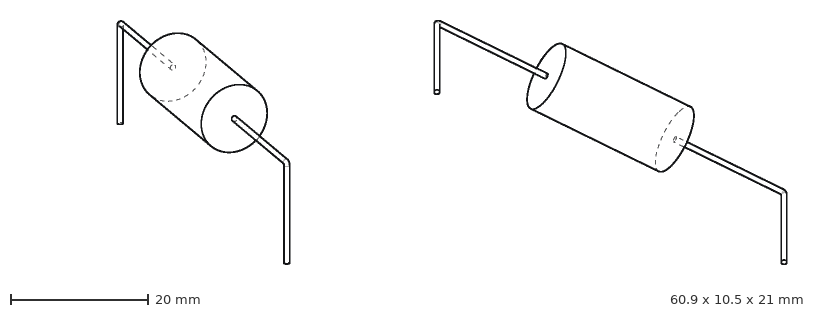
import cadquery as cq

overall_length = 60.85
overall_height = 21.0
body_diameter = 10.5
body_length = 22.15
wire_diameter = 0.85

wire_radius = wire_diameter / 2
inner_bend_radius = 0.01
bend_radius = wire_radius + inner_bend_radius
body_end_x = body_length / 2
leg_x = overall_length / 2 - wire_radius
bend_start_x = leg_x - bend_radius
leg_bottom_z = body_diameter / 2 - overall_height
leg_length = -bend_radius - leg_bottom_z


def make_body():
    """Plain cylinder centred on the origin, with its axis along X."""
    return (
        cq.Workplane("YZ", origin=(-body_end_x, 0, 0))
        .circle(body_diameter / 2)
        .extrude(body_length)
    )


def make_lead():
    """Lead at the +X end: straight run from the body face, quarter bend, leg down."""
    run = (
        cq.Workplane("YZ", origin=(body_end_x, 0, 0))
        .circle(wire_radius)
        .extrude(bend_start_x - body_end_x)
    )
    bend = (
        cq.Workplane("YZ", origin=(bend_start_x, 0, 0))
        .circle(wire_radius)
        .revolve(90, (0, -bend_radius, 0), (1, -bend_radius, 0))
    )
    leg = (
        cq.Workplane("XY", origin=(leg_x, 0, leg_bottom_z))
        .circle(wire_radius)
        .extrude(leg_length)
    )
    return run.union(bend).union(leg)


body = make_body()

leads = []
for turn in (0, 180):
    lead = make_lead().rotate((0, 0, 0), (0, 0, 1), turn)
    leads.append(lead.solids().val())

result = cq.Compound.makeCompound([body.val(), *leads])